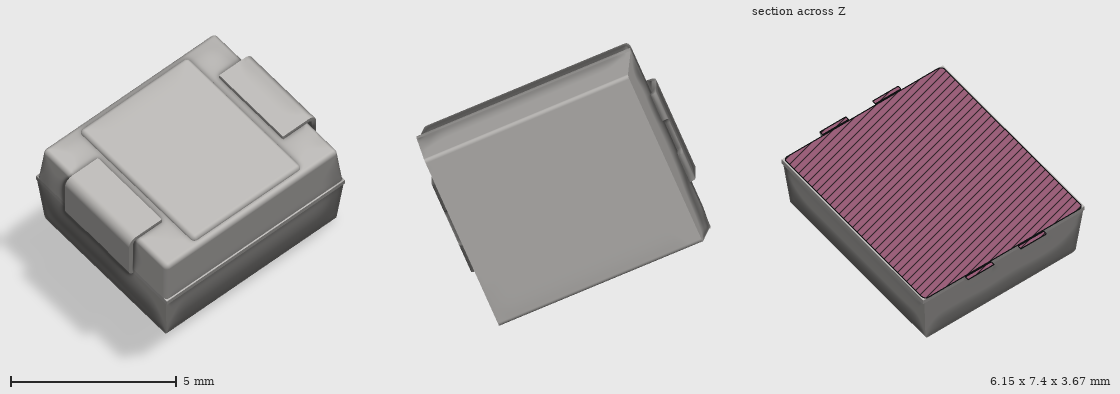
import cadquery as cq
import math

total_height = 3.67
terminal_span = 7.4
draft_angle = 5.0

body_width = 6.05
body_length = 7.05
rim_width = 6.15
rim_thickness = 0.17
body_edge_radius = 0.15
bottom_edge_radius = 0.12

pad_width = 5.4
pad_length = 4.3
pad_height = 0.12
pad_edge_radius = 0.15

sheet = 0.15
terminal_width = 3.0
terminal_height = 1.75
terminal_reach = 1.3
upper_bend_radius = 0.3
lower_bend_radius = 0.2
notch_width = 1.2
notch_corner_radius = 0.17

rim_bottom = total_height - terminal_height
rim_top = rim_bottom + rim_thickness
body_top = total_height - sheet


def drafted_block(base_level, height):
    """Block rising from the parting line; a negative height goes down."""
    base = cq.Workplane("XY").workplane(offset=base_level).rect(body_width, body_length)
    return base.extrude(height, taper=draft_angle)


def upper_body():
    block = drafted_block(rim_top, body_top - rim_top)
    side_and_top_edges = block.edges("not <Z")
    return side_and_top_edges.fillet(body_edge_radius)


def lower_body():
    block = drafted_block(rim_bottom, -rim_bottom)
    return block.faces("<Z").edges("|Y").fillet(bottom_edge_radius)


def rim():
    base = cq.Workplane("XY").workplane(offset=rim_bottom)
    return base.rect(rim_width, body_length).extrude(rim_thickness)


def pad():
    depth_below_top = pad_edge_radius
    base = cq.Workplane("XY").workplane(offset=body_top - depth_below_top)
    block = base.rect(pad_width, pad_length).extrude(depth_below_top + pad_height)
    return block.edges("|Z or >Z").fillet(pad_edge_radius)


def notch():
    """Cutter through the lower bend, rounded at its upper corners."""
    bend_clearance = (terminal_span - body_length) / 2
    base = cq.Workplane("XY").workplane(offset=rim_bottom)
    base = base.center(0, -body_length / 2 - bend_clearance / 2)
    block = base.rect(notch_width, bend_clearance).extrude(lower_bend_radius)
    return block.faces(">Z").edges("|Y").fillet(notch_corner_radius)


def terminal():
    """Bent strip on the -Y end: out of the rim, up the end, back over the top."""
    outer = -terminal_span / 2
    inner = outer + sheet
    tip = outer + terminal_reach
    root = -body_length / 2 + sheet
    upper_center = (outer + upper_bend_radius, total_height - upper_bend_radius)
    lower_center = (outer + lower_bend_radius, rim_bottom + lower_bend_radius)
    upper_inside = upper_bend_radius - sheet
    lower_inside = lower_bend_radius - sheet
    lower_leg_top = rim_bottom + sheet
    diagonal = math.sqrt(0.5)

    def bend_middle(center, radius, vertical):
        return (center[0] - radius * diagonal, center[1] + vertical * radius * diagonal)

    profile = (
        cq.Workplane("YZ")
        .moveTo(root, rim_bottom)
        .lineTo(lower_center[0], rim_bottom)
        .threePointArc(bend_middle(lower_center, lower_bend_radius, -1), (outer, lower_center[1]))
        .lineTo(outer, upper_center[1])
        .threePointArc(bend_middle(upper_center, upper_bend_radius, 1), (upper_center[0], total_height))
        .lineTo(tip, total_height)
        .lineTo(tip, body_top)
        .lineTo(upper_center[0], body_top)
        .threePointArc(bend_middle(upper_center, upper_inside, 1), (inner, upper_center[1]))
        .lineTo(inner, lower_center[1])
        .threePointArc(bend_middle(lower_center, lower_inside, -1), (lower_center[0], lower_leg_top))
        .lineTo(root, lower_leg_top)
        .close()
    )
    strip = profile.extrude(terminal_width / 2, both=True)
    return strip.cut(notch())


front_terminal = terminal()
back_terminal = front_terminal.mirror("XZ")

result = lower_body().union(rim()).union(upper_body()).union(pad())
result = result.union(front_terminal).union(back_terminal)